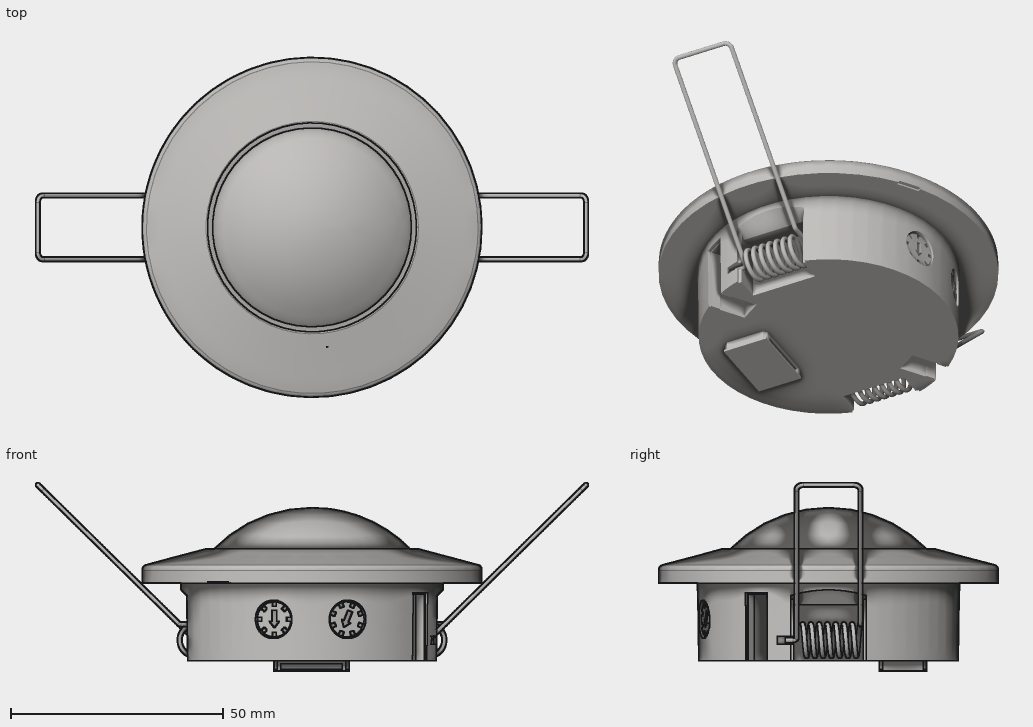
import cadquery as cq
import math


RING_RADIUS = 40.0
RING_EDGE_HEIGHT = 4.1
RING_TOP_HEIGHT = 8.1
RING_TOP_RADIUS = 25.0
RING_EDGE_FILLET = 1.3
LENS_SEAT_RADIUS = 24.6
PRY_NOTCH_ANGLE = 236.3
PRY_NOTCH_WIDTH = 5.7
PRY_NOTCH_DEPTH = 1.0
PRY_NOTCH_HEIGHT = 0.4

LENS_RIM_HEIGHT = 7.8
DOME_BASE_RADIUS = 23.4
DOME_TOP_HEIGHT = 17.8

HOUSING_TOP_RADIUS = 30.9
HOUSING_BOTTOM_RADIUS = 30.6
HOUSING_HEIGHT = 18.3

SLOT_ANGLE = -33.7
SLOT_WIDTH = 5.3
SLOT_DEPTH = 10.0
SLOT_WALL_THICKNESS = 3.3
SLOT_CHAMBER_MARGIN = 0.3
SLOT_RIM_MARGIN = 0.4
SLOT_RIM_DEPTH = 0.9
SLOT_ROOF_DROP = 2.6

WIRE_DIAMETER = 1.1
COIL_CENTRE_X = -27.4
COIL_CENTRE_Z = -13.4
COIL_RADIUS = 3.75
COIL_TURNS = 7
COIL_LENGTH = 13.6
LEG_Y = 7.5
CROSSBAR_X = -64.53
CROSSBAR_Z = 23.15
LOOP_CORNER_RADIUS = 1.6
BEND_RADIUS = 0.9
TAIL_END_Y = 10.2

POCKET_MOUTH_HALF_WIDTH = 8.9
POCKET_MOUTH_X = 28.6
POCKET_HALF_WIDTH = 8.2
POCKET_FLOOR_X = 22.6
POCKET_LEDGE_X = 27.3
POCKET_CEILING_DROP = 5.1
TAIL_SLOT_HEIGHT = 1.9
TAIL_SLOT_END_Y = 12.1
TAIL_SLOT_FLOOR_X = 26.6

DIAL_ANGLES = [-107.3, -74.0]
DIAL_TURNS = [0.0, -22.5]
DIAL_Z = -8.5
DIAL_HOLE_RADIUS = 4.5
DIAL_RADIUS = 4.15
DIAL_FACE_RADIUS = 30.0
DIAL_THICKNESS = 2.0
DIAL_RELIEF = 0.5
DIAL_NOTCHES = 8
DIAL_NOTCH_WIDTH = 1.0
DIAL_NOTCH_LENGTH = 1.1
ARROW_TAIL = 2.1
ARROW_NECK = -0.5
ARROW_TIP = -2.0
ARROW_SHAFT_WIDTH = 1.2
ARROW_HEAD_WIDTH = 2.4

BLOCK_LENGTH = 17.8
BLOCK_WIDTH = 11.2
BLOCK_HEIGHT = 2.4
BLOCK_CENTRE_X = -0.1
BLOCK_CENTRE_Y = 17.5
BLOCK_CORNER_CHAMFER = 0.85
BLOCK_BASE_THICKNESS = 0.5
BLOCK_WINDOW_LENGTH = 14.4
BLOCK_WINDOW_HEIGHT = 1.3
BLOCK_WINDOW_DEPTH = 1.0

OVERCUT = 10.0
SELECTION_MARGIN = 0.1


def half_turn(shape):
    return shape.rotate((0, 0, 0), (0, 0, 1), 180)


def box_between(x_range, y_range, z_range):
    size = [high - low for low, high in (x_range, y_range, z_range)]
    corner = (x_range[0], y_range[0], z_range[0])
    return cq.Workplane("XY").box(*size, centered=False).translate(corner)


def make_ring():
    profile = [
        (LENS_SEAT_RADIUS, 0),
        (RING_RADIUS, 0),
        (RING_RADIUS, RING_EDGE_HEIGHT),
        (RING_TOP_RADIUS, RING_TOP_HEIGHT),
        (LENS_SEAT_RADIUS, RING_TOP_HEIGHT),
    ]
    ring = cq.Workplane("XZ").polyline(profile).close().revolve(360, (0, 0, 0), (0, 1, 0))
    reach = RING_RADIUS + SELECTION_MARGIN
    at_rim = cq.selectors.BoxSelector(
        (-reach, -reach, RING_EDGE_HEIGHT - SELECTION_MARGIN),
        (reach, reach, RING_EDGE_HEIGHT + SELECTION_MARGIN),
        boundingbox=True,
    )
    ring = ring.edges(at_rim).fillet(RING_EDGE_FILLET)
    notch = box_between(
        (RING_RADIUS - PRY_NOTCH_DEPTH, RING_RADIUS + OVERCUT),
        (-PRY_NOTCH_WIDTH / 2, PRY_NOTCH_WIDTH / 2),
        (-OVERCUT, PRY_NOTCH_HEIGHT),
    )
    return ring.cut(notch.rotate((0, 0, 0), (0, 0, 1), PRY_NOTCH_ANGLE))


def make_lens():
    dome_rise = DOME_TOP_HEIGHT - LENS_RIM_HEIGHT
    sphere_radius = (DOME_BASE_RADIUS**2 + dome_rise**2) / (2 * dome_rise)
    half_angle = math.asin(DOME_BASE_RADIUS / sphere_radius) / 2
    mid_x = sphere_radius * math.sin(half_angle)
    mid_z = DOME_TOP_HEIGHT - sphere_radius * (1 - math.cos(half_angle))
    return (
        cq.Workplane("XZ")
        .moveTo(0, 0)
        .lineTo(LENS_SEAT_RADIUS, 0)
        .lineTo(LENS_SEAT_RADIUS, LENS_RIM_HEIGHT)
        .lineTo(DOME_BASE_RADIUS, LENS_RIM_HEIGHT)
        .threePointArc((mid_x, mid_z), (0, DOME_TOP_HEIGHT))
        .close()
        .revolve(360, (0, 0, 0), (0, 1, 0))
    )


def spring_pocket():
    """Pocket on the -X side with a 45 degree roof, open at the outside and the bottom."""

    def sloped_prism(inner_x, half_width):
        outer_x = POCKET_LEDGE_X + OVERCUT
        bottom_z = -HOUSING_HEIGHT - OVERCUT
        roof_start_x = max(inner_x, POCKET_LEDGE_X)
        roof_start_z = roof_start_x - POCKET_LEDGE_X - POCKET_CEILING_DROP
        outline = [
            (-inner_x, bottom_z),
            (-inner_x, roof_start_z),
            (-outer_x, outer_x - POCKET_LEDGE_X - POCKET_CEILING_DROP),
            (-outer_x, bottom_z),
        ]
        if inner_x < POCKET_LEDGE_X:
            outline.insert(2, (-POCKET_LEDGE_X, -POCKET_CEILING_DROP))
        return cq.Workplane("XZ").polyline(outline).close().extrude(half_width, both=True)

    tail_slot = box_between(
        (-HOUSING_TOP_RADIUS - OVERCUT, -TAIL_SLOT_FLOOR_X),
        (0, TAIL_SLOT_END_Y),
        (COIL_CENTRE_Z - TAIL_SLOT_HEIGHT / 2, COIL_CENTRE_Z + TAIL_SLOT_HEIGHT / 2),
    )
    mouth = sloped_prism(POCKET_MOUTH_X, POCKET_MOUTH_HALF_WIDTH)
    return sloped_prism(POCKET_FLOOR_X, POCKET_HALF_WIDTH).union(mouth).union(tail_slot)


def radial_slot():
    """Slot open at the bottom: a shallow rim step, a throat and a slightly wider chamber."""

    def slot_box(outer_depth, inner_depth, margin):
        half_width = SLOT_WIDTH / 2 + margin
        return box_between(
            (HOUSING_TOP_RADIUS - inner_depth, HOUSING_TOP_RADIUS - outer_depth),
            (-half_width, half_width),
            (-HOUSING_HEIGHT - OVERCUT, margin - SLOT_ROOF_DROP),
        )

    rim = slot_box(-OVERCUT, SLOT_RIM_DEPTH, SLOT_RIM_MARGIN)
    throat = slot_box(0, SLOT_DEPTH, 0)
    chamber = slot_box(SLOT_WALL_THICKNESS, SLOT_DEPTH, SLOT_CHAMBER_MARGIN)
    slot = throat.union(rim).union(chamber)
    return slot.rotate((0, 0, 0), (0, 0, 1), SLOT_ANGLE)


def dial_plane(angle):
    """Plane of a dial's face: its normal points outward and its local Y is up."""
    outward = (math.cos(math.radians(angle)), math.sin(math.radians(angle)), 0)
    sideways = (-outward[1], outward[0], 0)
    origin = (DIAL_FACE_RADIUS * outward[0], DIAL_FACE_RADIUS * outward[1], DIAL_Z)
    return cq.Plane(origin=origin, xDir=sideways, normal=outward)


def make_housing():
    """Solid drum that flares slightly at the top, with all its pockets and holes."""
    flare_radius = HOUSING_BOTTOM_RADIUS + (HOUSING_TOP_RADIUS - HOUSING_BOTTOM_RADIUS) / 4
    housing = (
        cq.Workplane("XZ")
        .moveTo(0, -HOUSING_HEIGHT)
        .lineTo(HOUSING_BOTTOM_RADIUS, -HOUSING_HEIGHT)
        .threePointArc((flare_radius, -HOUSING_HEIGHT / 2), (HOUSING_TOP_RADIUS, 0))
        .lineTo(0, 0)
        .close()
        .revolve(360, (0, 0, 0), (0, 1, 0))
    )
    for cutter in (spring_pocket(), radial_slot()):
        housing = housing.cut(cutter).cut(half_turn(cutter))
    for angle in DIAL_ANGLES:
        hole = (
            cq.Workplane(dial_plane(angle))
            .workplane(offset=-DIAL_THICKNESS)
            .circle(DIAL_HOLE_RADIUS)
            .extrude(DIAL_THICKNESS + OVERCUT)
        )
        housing = housing.cut(hole)
    return housing


def make_dial(angle, turn):
    """Round dial with a notched rim and an engraved arrow."""
    face = cq.Workplane(dial_plane(angle)).transformed(rotate=(0, 0, turn))
    dial = face.circle(DIAL_RADIUS).extrude(-DIAL_THICKNESS)
    notches = (
        face.polarArray(DIAL_RADIUS - DIAL_NOTCH_LENGTH / 2, 0, 360, DIAL_NOTCHES)
        .rect(DIAL_NOTCH_LENGTH, DIAL_NOTCH_WIDTH)
        .extrude(-DIAL_RELIEF)
    )
    arrow = (
        face.polyline(
            [
                (-ARROW_SHAFT_WIDTH / 2, ARROW_TAIL),
                (ARROW_SHAFT_WIDTH / 2, ARROW_TAIL),
                (ARROW_SHAFT_WIDTH / 2, ARROW_NECK),
                (ARROW_HEAD_WIDTH / 2, ARROW_NECK),
                (0, ARROW_TIP),
                (-ARROW_HEAD_WIDTH / 2, ARROW_NECK),
                (-ARROW_SHAFT_WIDTH / 2, ARROW_NECK),
            ]
        )
        .close()
        .extrude(-DIAL_RELIEF)
    )
    return dial.cut(notches).cut(arrow)


def bent_wire_path(points, radii):
    """Line path through the points, with an arc of the given radius at each inner point."""
    edges = []
    start = points[0]
    for before, corner, after, radius in zip(points, points[1:], points[2:], radii):
        back = (before - corner).normalized()
        ahead = (after - corner).normalized()
        half_angle = back.getAngle(ahead) / 2
        setback = radius / math.tan(half_angle)
        arc_start = corner + back * setback
        arc_end = corner + ahead * setback
        bisector = (back + ahead).normalized()
        arc_middle = corner + bisector * (radius / math.sin(half_angle) - radius)
        edges.append(cq.Edge.makeLine(start, arc_start))
        edges.append(cq.Edge.makeThreePointArc(arc_start, arc_middle, arc_end))
        start = arc_end
    edges.append(cq.Edge.makeLine(start, points[-1]))
    return cq.Wire.assembleEdges(edges)


def make_spring():
    """Spring on the -X side: a loop with a hooked tail on one leg and a coil on the other."""
    wire_radius = WIRE_DIAMETER / 2
    coil_top_z = COIL_CENTRE_Z + COIL_RADIUS
    leg_slope = (CROSSBAR_Z - COIL_CENTRE_Z) / (CROSSBAR_X - COIL_CENTRE_X)
    knee_x = CROSSBAR_X + (coil_top_z - CROSSBAR_Z) / leg_slope
    tail_end = cq.Vector(COIL_CENTRE_X, TAIL_END_Y, COIL_CENTRE_Z)
    points = [
        tail_end,
        cq.Vector(COIL_CENTRE_X, LEG_Y, COIL_CENTRE_Z),
        cq.Vector(CROSSBAR_X, LEG_Y, CROSSBAR_Z),
        cq.Vector(CROSSBAR_X, -LEG_Y, CROSSBAR_Z),
        cq.Vector(knee_x, -LEG_Y, coil_top_z),
        cq.Vector(COIL_CENTRE_X, -LEG_Y, coil_top_z),
    ]
    radii = [BEND_RADIUS, LOOP_CORNER_RADIUS, LOOP_CORNER_RADIUS, BEND_RADIUS]
    loop = (
        cq.Workplane(cq.Plane(origin=tail_end, normal=(0, -1, 0)))
        .circle(wire_radius)
        .sweep(bent_wire_path(points, radii))
    )

    helix = cq.Wire.makeHelix(COIL_LENGTH / COIL_TURNS, COIL_LENGTH, COIL_RADIUS)
    coil = (
        cq.Workplane("XZ", origin=(COIL_RADIUS, 0, 0))
        .circle(wire_radius)
        .sweep(helix, isFrenet=True)
        .rotate((0, 0, 0), (1, 0, 0), -90)
        .rotate((0, 0, 0), (0, 1, 0), -90)
        .translate((COIL_CENTRE_X, -LEG_Y, COIL_CENTRE_Z))
    )
    joint = cq.Workplane("XY").sphere(wire_radius).translate(points[-1])
    return loop.union(joint).union(coil)


def make_terminal_block():
    bottom_z = -HOUSING_HEIGHT - BLOCK_HEIGHT
    centre = (BLOCK_CENTRE_X, BLOCK_CENTRE_Y, bottom_z)
    base = (
        cq.Workplane("XY", origin=centre)
        .rect(BLOCK_LENGTH, BLOCK_WIDTH)
        .extrude(BLOCK_BASE_THICKNESS)
    )
    body = (
        cq.Workplane("XY", origin=centre)
        .rect(BLOCK_LENGTH, BLOCK_WIDTH)
        .extrude(BLOCK_HEIGHT)
        .edges("|Z")
        .chamfer(BLOCK_CORNER_CHAMFER)
    )
    front_y = BLOCK_CENTRE_Y - BLOCK_WIDTH / 2
    window_low_z = bottom_z + BLOCK_BASE_THICKNESS
    window = box_between(
        (BLOCK_CENTRE_X - BLOCK_WINDOW_LENGTH / 2, BLOCK_CENTRE_X + BLOCK_WINDOW_LENGTH / 2),
        (front_y, front_y + BLOCK_WINDOW_DEPTH),
        (window_low_z, window_low_z + BLOCK_WINDOW_HEIGHT),
    )
    return body.union(base).cut(window)


ring = make_ring()
lens = make_lens()
housing = make_housing()
dials = [make_dial(angle, turn) for angle, turn in zip(DIAL_ANGLES, DIAL_TURNS)]
left_spring = make_spring()
springs = [left_spring, half_turn(left_spring)]
terminal_block = make_terminal_block()

bodies = [ring, lens, housing, *dials, *springs, terminal_block]
result = cq.Compound.makeCompound([body.solids().val() for body in bodies])